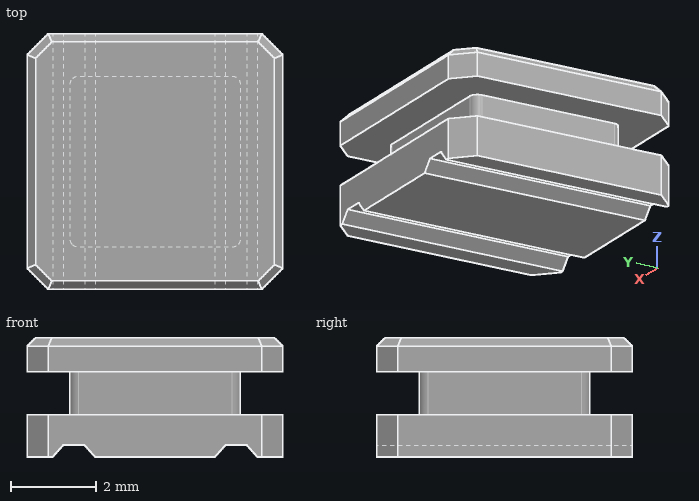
import cadquery as cq

side = 6.0
corner_cut = 0.5
base_height = 1.0
winding_height = 1.0
cap_height = 0.8
cap_edge_chamfer = 0.2

winding_side = 4.0
winding_corner_radius = 0.2

groove_offset = 1.9
groove_mouth = 1.0
groove_floor = 0.5
groove_depth = 0.28


def make_plate(height, bottom):
    """Square plate with bevelled vertical corners."""
    plate = cq.Workplane("XY").workplane(offset=bottom).rect(side, side).extrude(height)
    return plate.edges("|Z").chamfer(corner_cut)


def make_groove(center_x):
    """Trapezoidal terminal groove running along Y through the underside."""
    return (
        cq.Workplane("XZ")
        .polyline([
            (center_x - groove_mouth / 2, 0),
            (center_x - groove_floor / 2, groove_depth),
            (center_x + groove_floor / 2, groove_depth),
            (center_x + groove_mouth / 2, 0),
        ])
        .close()
        .extrude(side / 2, both=True)
    )


def make_base():
    """Lower plate with two terminal grooves."""
    base = make_plate(base_height, 0)
    for direction in (-1, 1):
        base = base.cut(make_groove(direction * groove_offset))
    return base


def make_winding():
    """Rounded square block between the two plates."""
    winding = (
        cq.Workplane("XY")
        .workplane(offset=base_height)
        .rect(winding_side, winding_side)
        .extrude(winding_height)
    )
    return winding.edges("|Z").fillet(winding_corner_radius)


def make_cap():
    """Upper plate with a bevelled top edge."""
    cap = make_plate(cap_height, base_height + winding_height)
    return cap.faces(">Z").chamfer(cap_edge_chamfer)


base = make_base()
winding = make_winding()
cap = make_cap()

result = cq.Compound.makeCompound([base.val(), winding.val(), cap.val()])